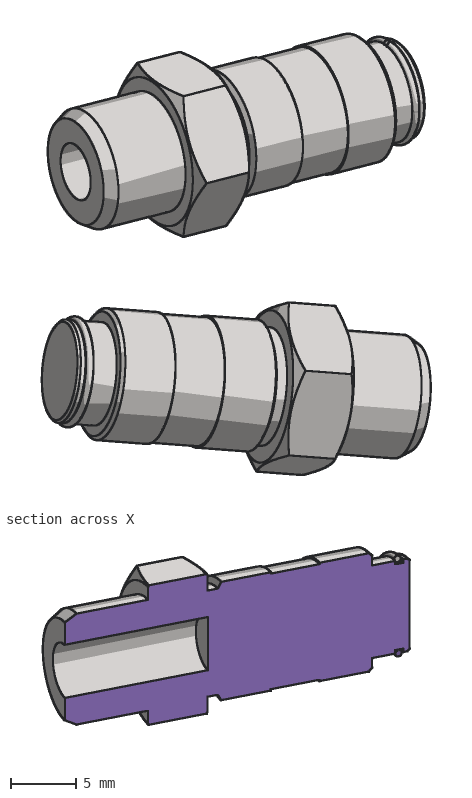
import cadquery as cq
import math

length = 29.0

thread_radius = 4.78
bore_radius = 2.25
lead_in_length = 1.0
cone_slope = math.tan(math.radians(30))
lead_in_radius = thread_radius - lead_in_length * cone_slope

hex_start = 7.0
hex_end = 12.0
hex_across_flats = 12.0
hex_across_corners = hex_across_flats / math.cos(math.radians(30))
hex_face_radius = 5.9

neck_radius = 4.58
sleeve_radius = 5.1
sleeve_start = 12.85
sleeve_end = 25.85
sleeve_chamfer = 0.3
waist_radius = 5.0
waist_start = 17.3
waist_end = 21.4

plug_radius = 4.0
plug_chamfer = 0.2
wire_radius = 0.3
ring_station = 28.05
ring_gap = 0.44
groove_start = ring_station - wire_radius
groove_end = 28.42
groove_radius = plug_radius - wire_radius

bore_depth = hex_end


def revolve_about_y(profile):
    return profile.close().revolve(360, (0, 0, 0), (0, 1, 0))


def make_turned_body():
    profile = cq.Workplane("XY").polyline([
        (0, 0),
        (lead_in_radius, 0),
        (thread_radius, lead_in_length),
        (thread_radius, hex_start),
        (neck_radius, hex_start),
        (neck_radius, sleeve_start),
        (sleeve_radius, sleeve_start + sleeve_chamfer),
        (sleeve_radius, waist_start),
        (waist_radius, waist_start),
        (waist_radius, waist_end),
        (sleeve_radius, waist_end),
        (sleeve_radius, sleeve_end - sleeve_chamfer),
        (sleeve_radius - sleeve_chamfer, sleeve_end),
        (plug_radius, sleeve_end),
        (plug_radius, groove_start),
        (groove_radius, groove_start),
        (groove_radius, groove_end),
        (plug_radius, groove_end),
        (plug_radius, length - plug_chamfer),
        (plug_radius - plug_chamfer, length),
        (0, length),
    ])
    return revolve_about_y(profile)


def make_hexagon():
    """Hexagon with corners on X, both ends cut back by a cone."""
    prism = (
        cq.Workplane("XZ", origin=(0, hex_start, 0))
        .polygon(6, hex_across_corners)
        .extrude(hex_start - hex_end)
    )
    corner_radius = hex_across_corners / 2
    corner_setback = (corner_radius - hex_face_radius) * cone_slope
    envelope = cq.Workplane("XY").polyline([
        (0, hex_start),
        (hex_face_radius, hex_start),
        (corner_radius, hex_start + corner_setback),
        (corner_radius, hex_end - corner_setback),
        (hex_face_radius, hex_end),
        (0, hex_end),
    ])
    return prism.intersect(revolve_about_y(envelope))


def make_fitting():
    bore = cq.Workplane("XZ").circle(bore_radius).extrude(-bore_depth)
    return make_turned_body().union(make_hexagon()).cut(bore)


def make_retaining_ring():
    """Round-wire ring, half sunk in the groove, split at its +Z side."""
    ring = (
        cq.Workplane("XY")
        .center(plug_radius, ring_station)
        .circle(wire_radius)
        .revolve(360, (-plug_radius, 0, 0), (-plug_radius, 1, 0))
    )
    split = cq.Workplane("XY").box(ring_gap, 4 * wire_radius, 4 * wire_radius)
    return ring.cut(split.translate((0, ring_station, plug_radius)))


fitting = make_fitting()
retaining_ring = make_retaining_ring()

result = cq.Compound.makeCompound([fitting.val(), *retaining_ring.vals()])